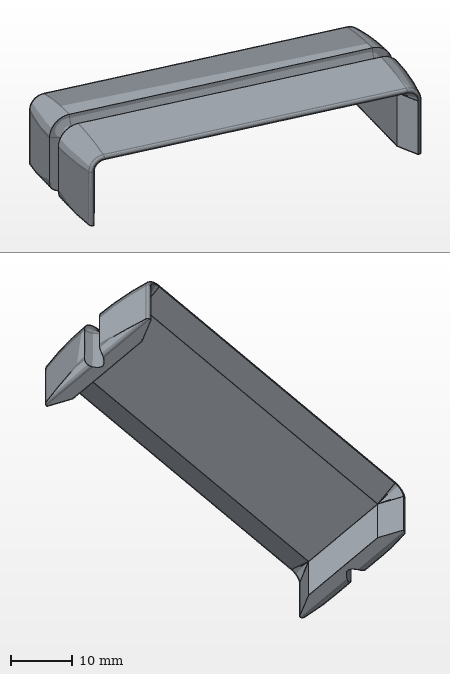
import cadquery as cq
import math

width = 24.0
length = 61.7
height = 13.5

thickness = 3.6
edge_drop = 1.05
edge_fillet = 0.55
side_depth = 1.65
slope_width = 4.0
groove_depth = 2.45
groove_half_width = 1.7
groove_middle_half_width = 1.35

foot_radius = 1.3
foot_taper_height = 0.5
foot_taper_depth = 0.05

half_width = width / 2
half_span = length / 2 - thickness
leg_height = height - thickness


def crown_depth(x):
    """Depth of the circular crown, highest at the groove edges."""
    run = half_width - groove_half_width
    radius = (run**2 + edge_drop**2) / (2 * edge_drop)
    offset = abs(x) - groove_half_width
    return radius - math.sqrt(radius**2 - offset**2)


def section(plane):
    """Draw the section with its inner flat on local y = 0 and its crown at +y."""
    middle_x = (half_width + groove_half_width) / 2
    crown_middle = thickness - crown_depth(middle_x)
    side_top = thickness - edge_drop
    side_bottom = thickness - side_depth
    flat_half_width = half_width - slope_width

    groove_curve = [
        (groove_half_width, thickness),
        (groove_middle_half_width, thickness - groove_depth / 2),
        (0, thickness - groove_depth),
        (-groove_middle_half_width, thickness - groove_depth / 2),
        (-groove_half_width, thickness),
    ]

    profile = (
        cq.Sketch()
        .segment((-flat_half_width, 0), (flat_half_width, 0))
        .segment((half_width, side_bottom))
        .segment((half_width, side_top))
        .arc((half_width, side_top), (middle_x, crown_middle), (groove_half_width, thickness))
        .edge(cq.Edge.makeSpline([cq.Vector(x, y) for x, y in groove_curve]))
        .arc((-groove_half_width, thickness), (-middle_x, crown_middle), (-half_width, side_top))
        .segment((-half_width, side_top), (-half_width, side_bottom))
        .segment((-flat_half_width, 0))
        .assemble()
        .reset()
    )
    outer_corners = cq.selectors.BoxSelector(
        (-half_width - 0.05, side_top - 0.05, -0.6), (half_width + 0.05, side_top + 0.05, 0.6)
    )
    profile = profile.vertices(outer_corners).fillet(edge_fillet)
    return cq.Workplane(plane).placeSketch(profile)


def bar():
    plane = cq.Plane(origin=(0, half_span, leg_height), xDir=(1, 0, 0), normal=(0, -1, 0))
    return section(plane).extrude(2 * half_span)


def foot_cutter():
    """Waste outside the short taper and the round along the outer lower edge."""
    outer_y = -length / 2
    round_start_y = outer_y + foot_taper_depth
    arc_middle = (
        round_start_y + foot_radius * (1 - math.sqrt(0.5)),
        foot_radius * (1 - math.sqrt(0.5)),
    )
    return (
        cq.Workplane("YZ", origin=(-half_width, 0, 0))
        .moveTo(outer_y, 0)
        .lineTo(outer_y, foot_radius + foot_taper_height)
        .lineTo(round_start_y, foot_radius)
        .threePointArc(arc_middle, (round_start_y + foot_radius, 0))
        .close()
        .extrude(width)
    )


def end():
    """Bend and leg at the -Y end."""
    plane = cq.Plane(origin=(0, -half_span, leg_height), xDir=(1, 0, 0), normal=(0, -1, 0))
    bend = section(plane).revolve(90, (0, 0, 0), (1, 0, 0))
    leg_plane = cq.Plane(origin=(0, -half_span, 0), xDir=(-1, 0, 0), normal=(0, 0, 1))
    leg = section(leg_plane).extrude(leg_height).cut(foot_cutter())
    return leg.union(bend)


near_end = end()
far_end = near_end.mirror("XZ")
result = bar().union(near_end).union(far_end)